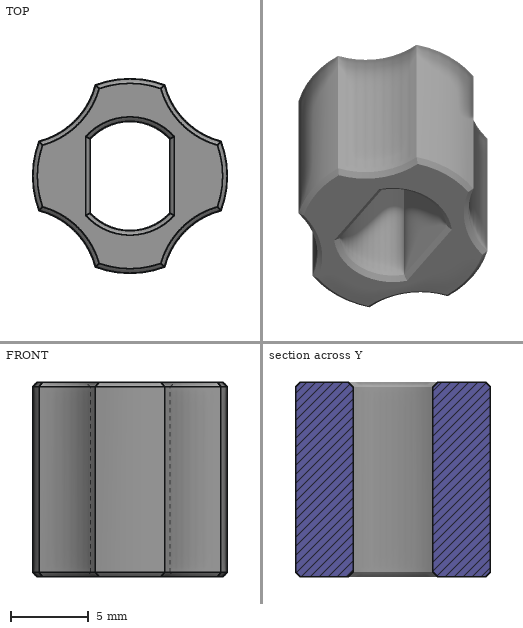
import cadquery as cq
import math

height = 12.5
outer_diameter = 12.5
edge_chamfer = 0.3

groove_count = 4
groove_radius = 5.0
groove_centre_distance = 10.0
first_groove_angle = 45.0

bore_diameter = 7.0
bore_across_flats = 5.1


def make_body():
    """Cylinder with the finger grooves cut along its full height."""
    grooves = (
        cq.Workplane("XY")
        .polarArray(groove_centre_distance, first_groove_angle, 360, groove_count)
        .circle(groove_radius)
        .extrude(height)
    )
    cylinder = cq.Workplane("XY").circle(outer_diameter / 2).extrude(height)
    return cylinder.cut(grooves)


def make_bore():
    """Solid that fills the double-D bore along its full height."""
    half_flats = bore_across_flats / 2
    bore_radius = bore_diameter / 2
    flat_end = math.sqrt(bore_radius**2 - half_flats**2)
    return (
        cq.Workplane("XY")
        .moveTo(half_flats, -flat_end)
        .lineTo(half_flats, flat_end)
        .threePointArc((0, bore_radius), (-half_flats, flat_end))
        .lineTo(-half_flats, -flat_end)
        .threePointArc((0, -bore_radius), (half_flats, -flat_end))
        .close()
        .extrude(height)
    )


result = make_body().cut(make_bore()).faces("<Z or >Z").edges().chamfer(edge_chamfer)